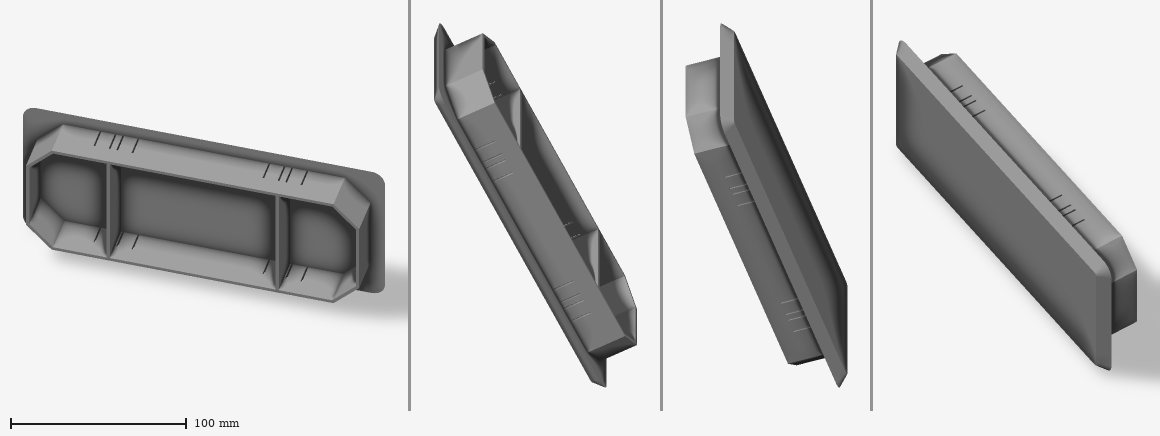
import cadquery as cq

length = 214.0
depth = 29.7
height = 92.0

flange_thickness = 6.2
flange_corner_radius = 8.0
flange_bevel_angle = 45

body_length = 197.0
body_height = 75.1
body_depth = depth - flange_thickness
body_corner_cut = 15.2
wall = 2.0

partition_spacing = 100.0
partition_centres = (-partition_spacing / 2, partition_spacing / 2)

slit_width = 1.0
slit_depth = 12.8
gap_across_partition = 4.5
slit_spacing = 9.0
inner_slit_offset = gap_across_partition / 2
outer_slit_offset = inner_slit_offset + slit_spacing


def make_flange():
    """Rounded plate with its back face at Y = 0, narrowing towards +Y."""
    outline = cq.Sketch().rect(height, length).vertices().fillet(flange_corner_radius)
    return (
        cq.Workplane("ZX")
        .placeSketch(outline)
        .extrude(flange_thickness, taper=flange_bevel_angle)
    )


def make_tray():
    """Octagonal wall ring with the two partitions across it."""
    block = (
        cq.Workplane("XZ")
        .rect(body_length, body_height)
        .extrude(body_depth)
        .edges("|Y")
        .chamfer(body_corner_cut)
    )
    cavity = block.faces("<Y").wires().toPending().offset2D(-wall).extrude(-body_depth, combine=False)
    partitions = (
        cq.Workplane("XZ")
        .pushPoints([(x, 0) for x in partition_centres])
        .rect(wall, body_height - wall)
        .extrude(body_depth)
    )
    return block.cut(cavity).union(partitions)


def make_slits():
    """Cutters that start at the flange and pass through both long walls."""
    offsets = (-outer_slit_offset, -inner_slit_offset, inner_slit_offset, outer_slit_offset)
    slit_centres = [(x + offset, 0) for x in partition_centres for offset in offsets]
    return cq.Workplane("XZ").pushPoints(slit_centres).rect(slit_width, height).extrude(slit_depth)


result = make_tray().cut(make_slits()).union(make_flange())